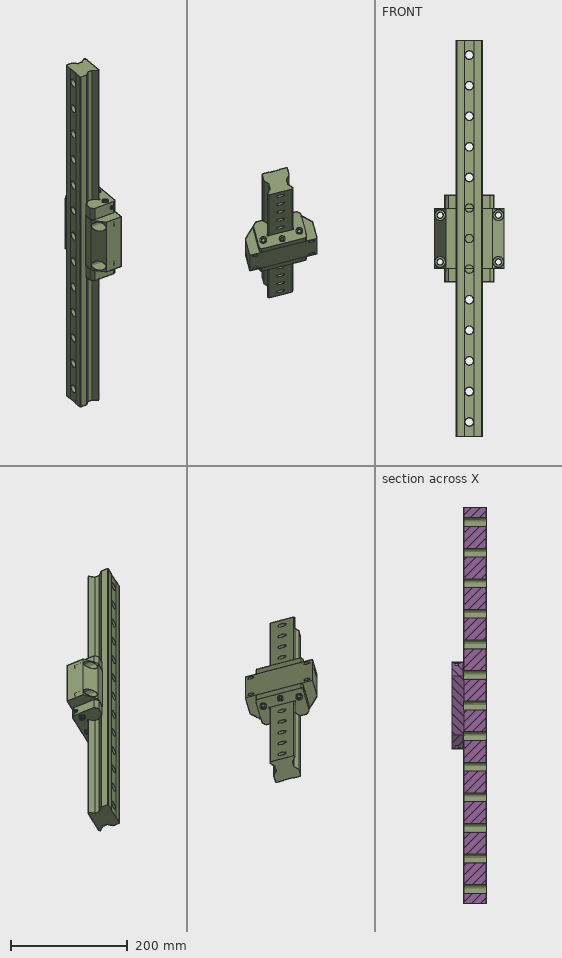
import cadquery as cq


RAIL_LENGTH = 680.0
RAIL_HALF_WIDTH = 22.5
RAIL_HEIGHT = 39.5
FOOT_HEIGHT = 13.0
WAIST_BOTTOM = 20.5
WAIST_TOP = 28.5
HEAD_EDGE_HEIGHT = 37.5
WAIST_HALF_WIDTH = 15.5
HEAD_CHAMFER = 2.0
FOOT_CHAMFER = 1.5
GROOVE_WIDTH = 17.0
GROOVE_DEPTH = 1.0
RAIL_HOLE_COUNT = 13
RAIL_END_MARGIN = 25.0
RAIL_HOLE_PITCH = (RAIL_LENGTH - 2 * RAIL_END_MARGIN) / (RAIL_HOLE_COUNT - 1)
RAIL_HOLE_DIAMETER = 14.0

TOP_HEIGHT = 60.0
BLOCK_HALF_WIDTH = 60.0
BLOCK_LENGTH = 103.0
BLOCK_BOTTOM = 10.0
BLOCK_BOTTOM_HALF_WIDTH = 40.0
FLANGE_EDGE_HEIGHT = 29.0
BOLT_SPACING_X = 100.0
BOLT_SPACING_Z = 80.0
BOLT_HOLE_DIAMETER = 10.0
BOLT_SEAT_DIAMETER = 18.5
BOLT_SEAT_HEIGHT = TOP_HEIGHT - 14.0
BLOCK_CLEARANCE = 0.35

CAP_LENGTH = 23.0
CAP_BOTTOM = 11.0
CAP_HALF_WIDTH = 42.0
CAP_CORNER = 6.0
CAP_CORNER_BULGE = 0.35
CAP_BEVEL_WIDTH = 3.0
CAP_BEVEL_HEIGHT = 4.0
CAP_CLEARANCE = 1.0
SCREW_OFFSET_X = 32.0
SCREW_HEIGHT = TOP_HEIGHT - 15.0
SCREW_RECESS_DIAMETER = 11.5
SCREW_RECESS_DEPTH = 2.0
SCREW_SOCKET_DIAMETER = 7.0
SCREW_SOCKET_DEPTH = 5.5
SIDE_PORT_HEIGHT = TOP_HEIGHT - 7.5
END_PORT_HEIGHT = TOP_HEIGHT - 9.0
SIDE_PORT_DIAMETER = 7.0
END_PORT_DIAMETER = 10.0
END_PORT_BORE_DIAMETER = 5.2
SIDE_PORT_BORE_DIAMETER = 3.0
PORT_DEPTH = 2.0
PORT_BORE_DEPTH = 5.5


def extrude_along_z(outline, length):
    """Close a half outline by mirroring it in X = 0 and extrude it evenly about Z = 0."""
    mirrored = [(-x, y) for x, y in reversed(outline)]
    return cq.Workplane("XY").polyline(outline + mirrored).close().extrude(length / 2, both=True)


def cylinder_along_y(x, z, diameter, bottom, top):
    """Upright cylinder at (x, z) between two heights."""
    return cq.Workplane("XZ", origin=(x, bottom, z)).circle(diameter / 2).extrude(bottom - top)


def make_rail():
    rail = extrude_along_z(
        [
            (RAIL_HALF_WIDTH - FOOT_CHAMFER, 0),
            (RAIL_HALF_WIDTH, FOOT_CHAMFER),
            (RAIL_HALF_WIDTH, FOOT_HEIGHT),
            (WAIST_HALF_WIDTH, WAIST_BOTTOM),
            (WAIST_HALF_WIDTH, WAIST_TOP),
            (RAIL_HALF_WIDTH, HEAD_EDGE_HEIGHT),
            (RAIL_HALF_WIDTH - HEAD_CHAMFER, RAIL_HEIGHT),
        ],
        RAIL_LENGTH,
    )
    groove = cq.Workplane("XY").box(GROOVE_WIDTH, 2 * GROOVE_DEPTH, RAIL_LENGTH)
    rail = rail.cut(groove)
    for number in range(RAIL_HOLE_COUNT):
        z = -RAIL_LENGTH / 2 + RAIL_END_MARGIN + number * RAIL_HOLE_PITCH
        rail = rail.cut(cylinder_along_y(0, z, RAIL_HOLE_DIAMETER, 0, RAIL_HEIGHT))
    return rail


def rail_channel(clearance, length):
    """Space around the rail, open downwards, with the given gap to the rail."""
    half_width = RAIL_HALF_WIDTH + clearance
    waist = WAIST_HALF_WIDTH + clearance
    return extrude_along_z(
        [
            (half_width, 0),
            (half_width, FOOT_HEIGHT),
            (waist, WAIST_BOTTOM),
            (waist, WAIST_TOP),
            (half_width, HEAD_EDGE_HEIGHT),
            (half_width, RAIL_HEIGHT + clearance),
        ],
        length,
    )


def make_block():
    block = extrude_along_z(
        [
            (BLOCK_BOTTOM_HALF_WIDTH, BLOCK_BOTTOM),
            (BLOCK_HALF_WIDTH, FLANGE_EDGE_HEIGHT),
            (BLOCK_HALF_WIDTH, TOP_HEIGHT),
        ],
        BLOCK_LENGTH,
    )
    block = block.cut(rail_channel(BLOCK_CLEARANCE, BLOCK_LENGTH))
    for x in (-BOLT_SPACING_X / 2, BOLT_SPACING_X / 2):
        for z in (-BOLT_SPACING_Z / 2, BOLT_SPACING_Z / 2):
            block = block.cut(cylinder_along_y(x, z, BOLT_HOLE_DIAMETER, 0, TOP_HEIGHT))
            block = block.cut(cylinder_along_y(x, z, BOLT_SEAT_DIAMETER, 0, BOLT_SEAT_HEIGHT))
    return block


def make_cap(end):
    """End cap at the +Z end of the carriage for end = 1, or at the -Z end for end = -1."""
    corner_middle = CAP_CORNER / 2 - CAP_CORNER_BULGE
    outline = (
        cq.Workplane("XY")
        .moveTo(0, CAP_BOTTOM)
        .lineTo(CAP_HALF_WIDTH - CAP_CORNER, CAP_BOTTOM)
        .threePointArc(
            (CAP_HALF_WIDTH - corner_middle, CAP_BOTTOM + corner_middle),
            (CAP_HALF_WIDTH, CAP_BOTTOM + CAP_CORNER),
        )
        .lineTo(CAP_HALF_WIDTH, TOP_HEIGHT - CAP_BEVEL_HEIGHT)
        .lineTo(CAP_HALF_WIDTH - CAP_BEVEL_WIDTH, TOP_HEIGHT)
        .lineTo(0, TOP_HEIGHT)
        .mirrorY()
    )
    cap = outline.extrude(CAP_LENGTH / 2, both=True)
    cap = cap.cut(rail_channel(CAP_CLEARANCE, CAP_LENGTH))

    outer_face = cq.Workplane("XY", origin=(0, 0, CAP_LENGTH / 2))
    screws = outer_face.pushPoints([(-SCREW_OFFSET_X, SCREW_HEIGHT), (SCREW_OFFSET_X, SCREW_HEIGHT)])
    cap = cap.cut(screws.circle(SCREW_RECESS_DIAMETER / 2).extrude(-SCREW_RECESS_DEPTH))
    cap = cap.cut(screws.circle(SCREW_SOCKET_DIAMETER / 2).extrude(-SCREW_SOCKET_DEPTH))
    end_port = outer_face.center(0, END_PORT_HEIGHT)
    cap = cap.cut(end_port.circle(END_PORT_DIAMETER / 2).extrude(-PORT_DEPTH))
    cap = cap.cut(end_port.circle(END_PORT_BORE_DIAMETER / 2).extrude(-PORT_BORE_DEPTH))

    for side in (-1, 1):
        face = cq.Workplane("YZ", origin=(side * CAP_HALF_WIDTH, SIDE_PORT_HEIGHT, 0))
        cap = cap.cut(face.circle(SIDE_PORT_DIAMETER / 2).extrude(-side * PORT_DEPTH))
        cap = cap.cut(face.circle(SIDE_PORT_BORE_DIAMETER / 2).extrude(-side * PORT_BORE_DEPTH))

    if end < 0:
        cap = cap.mirror("XY")
    return cap.translate((0, 0, end * (BLOCK_LENGTH + CAP_LENGTH) / 2))


rail = make_rail()
block = make_block()
caps = [make_cap(end) for end in (-1, 1)]
result = cq.Compound.makeCompound([rail.val(), block.val(), *[cap.val() for cap in caps]])